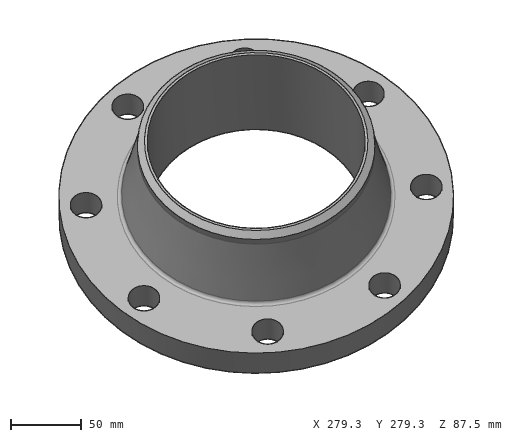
import cadquery as cq

flange_diameter = 279.3
total_height = 87.5
flange_thickness = 23.7

bore_diameter = 154.2
neck_diameter = 168.2
hub_base_diameter = 191.5
hub_fillet_radius = 3.0
weld_end_length = 9.5
bevel_height = 4.0
root_face_width = 2.0

bolt_hole_count = 8
bolt_hole_diameter = 22.3
bolt_circle_diameter = 241.3


def make_flange():
    """Flat disc standing on the XY plane."""
    return cq.Workplane("XY").circle(flange_diameter / 2).extrude(flange_thickness)


def make_neck():
    """Solid tapered neck with a straight, bevelled welding end."""
    root_face_radius = bore_diameter / 2 + root_face_width
    profile = (
        cq.Workplane("XZ")
        .moveTo(0, 0)
        .lineTo(hub_base_diameter / 2, 0)
        .lineTo(hub_base_diameter / 2, flange_thickness)
        .lineTo(neck_diameter / 2, total_height - weld_end_length)
        .lineTo(neck_diameter / 2, total_height - bevel_height)
        .lineTo(root_face_radius, total_height)
        .lineTo(0, total_height)
        .close()
    )
    return profile.revolve(360, (0, 0, 0), (0, 1, 0))


def make_bore():
    return cq.Workplane("XY").circle(bore_diameter / 2).extrude(total_height)


def make_bolt_holes():
    """Cylinders evenly spaced on the bolt circle, the first one on +X."""
    return (
        cq.Workplane("XY")
        .polarArray(bolt_circle_diameter / 2, 0, 360, bolt_hole_count)
        .circle(bolt_hole_diameter / 2)
        .extrude(flange_thickness)
    )


def round_hub_base(body):
    """Fillet the circle where the cone meets the flange face."""
    reach = hub_base_diameter / 2 + hub_fillet_radius
    margin = hub_fillet_radius / 2
    hub_circle = cq.selectors.BoxSelector(
        (-reach, -reach, flange_thickness - margin),
        (reach, reach, flange_thickness + margin),
        boundingbox=True,
    )
    return body.edges(hub_circle).fillet(hub_fillet_radius)


body = round_hub_base(make_flange().union(make_neck()))
result = body.cut(make_bore()).cut(make_bolt_holes())